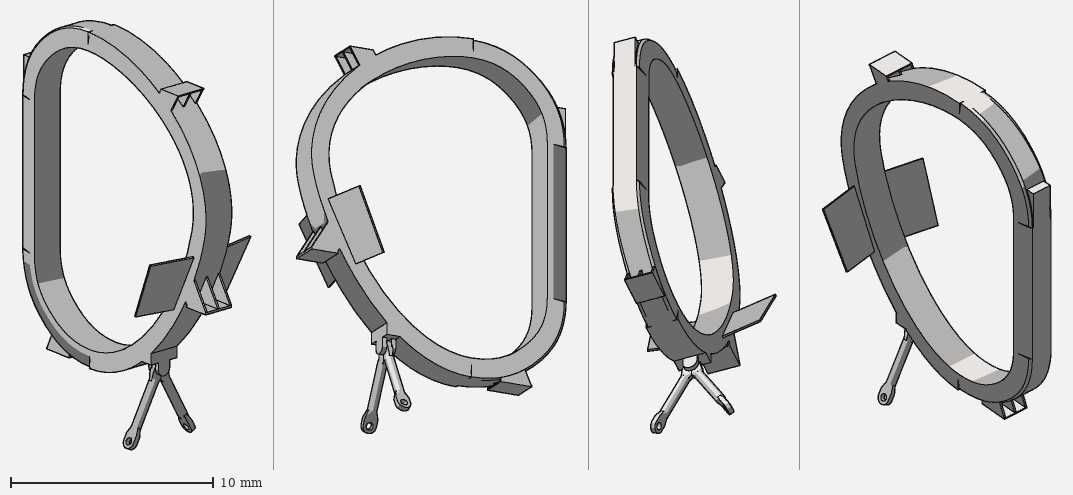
import cadquery as cq
import math


total_height = 20.5

ring_height = 17.72
ring_half_width = 0.85
wall_at_nose = 1.17
wall_at_seam = 1.0
corner_height = 4.82
top_seam_x = 5.27
bottom_seam_x = 5.37
flat_side_depth = 0.37
nose_half_width = 0.62
bevel_half_width = 0.72
bevel_depth_nose = 1.0
crown_half_width = 0.57
crown_bevel_half_width = 0.75
bevel_depth_crown = 0.96

outer_joint = (14.15, 9.33)
inner_joint = (13.19, 9.5)
joint_angle = 78.0
outer_top_handles = (4.95, 4.23)
outer_bottom_handles = (4.61, 3.59)
inner_top_handles = (3.57, 4.2)
inner_bottom_handles = (3.65, 4.02)

fin_tip_corner = (12.78, -3.25, 8.12)
fin_sweep = 11.0
fin_rake = 25.5
fin_span = 2.87
fin_chord = 3.5
fin_thickness = 0.1

rib_thickness = 0.1
foot_thickness = 0.06
rear_foot_thickness = 0.12

top_foot_x = (10.83, 12.12)
top_foot_z = 16.2
top_rib_root_left = (10.55, 15.77)
top_rib_root_right = (11.4, 15.05)
bottom_foot_x = (1.97, 3.7)
bottom_foot_z = 0.06
bottom_rib_root_left = (2.5, 1.23)
bottom_rib_root_right = (3.7, 0.62)
rear_foot_x = (12.78, 14.23)
rear_foot_z = 5.31
rear_rib_root_low = (12.55, 5.72)
rear_rib_root_high = (13.2, 7.08)
bottom_bracket_half_width = 0.74

pad_half_width = 0.55
pad_top = 14.97
pad_depth = 1.03

mount_x = 9.7
mount_width = 0.74
mount_bottom = 1.5
mount_top_left = 1.66
mount_top_right = 2.28
pivot_z = 1.1
pin_diameter = 0.33

strut_angle = 28.0
eye_radius = mount_width / 2
eye_thickness = 0.27
eye_hole_diameter = 0.37
rod_diameter = 0.5
eye_neck = 0.37
taper_length = 0.4

pivot_to_bottom = pivot_z + total_height - ring_height
lean = math.radians(strut_angle)
strut_length = (pivot_to_bottom - eye_thickness / 2 * math.sin(lean)) / math.cos(lean) - eye_radius


def prism(points, y_from, y_to):
    """Closed XZ outline extruded from y_from to y_to."""
    return cq.Workplane("XZ", origin=(0, y_from, 0)).polyline(points).close().extrude(y_from - y_to)


def pivot_cylinder(radius, length):
    """Cylinder along X about the pivot, centred in the mount."""
    return cq.Workplane("YZ", origin=(mount_x - length / 2, 0, pivot_z)).circle(radius).extrude(length)


def curve_controls(seam, joint, handles, side):
    """Control points from a seam point to the joint; side is 1 above the joint and -1 below it."""
    angle = math.radians(joint_angle)
    near_seam = (seam[0] + handles[0], seam[1])
    near_joint = (
        joint[0] + side * handles[1] * math.cos(angle),
        joint[1] + side * handles[1] * math.sin(angle),
    )
    return [seam, near_seam, near_joint, joint]


def make_rear_part(side, seam_x, outer_handles, inner_handles):
    """Curved rear part above (side 1) or below (side -1) the joint."""
    outer_z = ring_height if side > 0 else 0
    outer = curve_controls((seam_x, outer_z), outer_joint, outer_handles, side)
    inner = curve_controls((seam_x, outer_z - side * wall_at_seam), inner_joint, inner_handles, side)
    return (
        cq.Workplane("XZ", origin=(0, ring_half_width, 0))
        .moveTo(*outer[0])
        .bezier(outer)
        .lineTo(*inner_joint)
        .bezier(inner[::-1])
        .close()
        .extrude(2 * ring_half_width)
    )


def nose_section():
    """(depth from the inner face, half width) of the wall beside the straight leading side."""
    return [
        (0, ring_half_width),
        (flat_side_depth, ring_half_width),
        (bevel_depth_nose, bevel_half_width),
        (wall_at_nose, nose_half_width),
    ]


def crown_section():
    """(depth from the inner face, half width) of the wall at the seam with the rear part."""
    return [
        (0, ring_half_width),
        (flat_side_depth, ring_half_width),
        (bevel_depth_crown, crown_bevel_half_width),
        (wall_at_seam, crown_half_width),
    ]


def section_wire(half_section, place):
    """Closed symmetric section; place(depth, y) gives the point in space."""
    near = [place(depth, -y) for depth, y in half_section]
    far = [place(depth, y) for depth, y in reversed(half_section)]
    return cq.Wire.makePolygon(near + far, close=True)


def make_corner(side, seam_x):
    """Leading corner at the top (side 1) or bottom (side -1), swept along nearly a quarter ellipse."""
    outer_z = ring_height if side > 0 else 0
    seam_z = outer_z - side * wall_at_seam
    nose_z = outer_z - side * corner_height
    path_width = seam_x - wall_at_nose
    path_height = corner_height - wall_at_seam
    diagonal = math.sqrt(0.5)
    start = cq.Vector(seam_x, 0, seam_z)
    middle = (seam_x - path_width * diagonal, 0, nose_z + side * path_height * diagonal)
    end = cq.Vector(wall_at_nose, 0, nose_z)
    path = cq.Edge.makeSpline(
        [start, cq.Vector(*middle), end],
        tangents=[cq.Vector(-1, 0, 0), cq.Vector(0, 0, -side)],
    )
    crown = section_wire(crown_section(), lambda depth, y: cq.Vector(seam_x, y, seam_z + side * depth))
    nose = section_wire(nose_section(), lambda depth, y: cq.Vector(wall_at_nose - depth, y, nose_z))
    swept = cq.Solid.sweep_multi([crown, nose], cq.Wire.assembleEdges([path]), True, False)
    return cq.Workplane(obj=swept)


def make_leading_side():
    """Straight leading side between the two corners, tapering to its leading face."""
    outline = [
        (0, nose_half_width),
        (wall_at_nose - flat_side_depth, ring_half_width),
        (wall_at_nose, ring_half_width),
    ]
    outline += [(x, -y) for x, y in reversed(outline)]
    return (
        cq.Workplane("XY", origin=(0, 0, corner_height))
        .polyline(outline)
        .close()
        .extrude(ring_height - 2 * corner_height)
    )


def make_fin():
    """Raked and swept rectangular plate on the -Y side, with its root inside the ring wall."""
    sweep = math.radians(fin_sweep)
    rake = math.radians(fin_rake)
    inward = cq.Vector(math.sin(sweep), math.cos(sweep), 0)
    down = cq.Vector(-math.cos(sweep) * math.sin(rake), math.sin(sweep) * math.sin(rake), -math.cos(rake))
    plane = cq.Plane(origin=fin_tip_corner, xDir=inward, normal=down.cross(inward))
    return cq.Workplane(plane).rect(fin_span, -fin_chord, centered=False).extrude(fin_thickness)


def make_bracket(rib_outline, foot_x, foot_z, half_width):
    """Three ribs across the ring, joined by a thin foot plate; foot_x and foot_z are its X and Z ranges."""
    left, right = foot_x
    bottom, top = foot_z
    bracket = prism([(left, bottom), (right, bottom), (right, top), (left, top)], -half_width, half_width)
    rib_pitch = half_width - rib_thickness / 2
    for rib_y in (-rib_pitch, 0, rib_pitch):
        rib = prism(rib_outline, rib_y - rib_thickness / 2, rib_y + rib_thickness / 2)
        bracket = bracket.union(rib, clean=False)
    return bracket


def make_top_bracket():
    left, right = top_foot_x
    foot_top = top_foot_z + foot_thickness
    rib = [top_rib_root_left, top_rib_root_right, (right, foot_top), (left, foot_top)]
    return make_bracket(rib, top_foot_x, (top_foot_z, foot_top), ring_half_width)


def make_bottom_bracket():
    left, right = bottom_foot_x
    foot_top = bottom_foot_z + foot_thickness
    rib = [(left, bottom_foot_z), (right, bottom_foot_z), bottom_rib_root_right, bottom_rib_root_left]
    return make_bracket(rib, bottom_foot_x, (bottom_foot_z, foot_top), bottom_bracket_half_width)


def make_rear_bracket():
    left, right = rear_foot_x
    foot_top = rear_foot_z + rear_foot_thickness
    rib = [rear_rib_root_low, (left, foot_top), (right, foot_top), rear_rib_root_high]
    return make_bracket(rib, rear_foot_x, (rear_foot_z, foot_top), ring_half_width)


def make_pad():
    """Block that fills the space between the leading face's plane and the top corner."""
    pad_bottom = ring_height - corner_height
    outline = [(0, pad_bottom), (pad_depth, pad_bottom), (pad_depth, pad_top), (0, pad_top)]
    return prism(outline, -pad_half_width, pad_half_width)


def make_strut_mount():
    """Block under the ring with two rounded lugs and the pivot pin between them."""
    left = mount_x - mount_width / 2
    right = mount_x + mount_width / 2
    block = prism(
        [(left, mount_bottom), (right, mount_bottom), (right, mount_top_right), (left, mount_top_left)],
        -ring_half_width,
        ring_half_width,
    )
    lugs = (
        cq.Workplane("XY")
        .box(mount_width, 2 * eye_radius, mount_bottom - pivot_z, centered=(True, True, False))
        .translate((mount_x, 0, pivot_z))
        .union(pivot_cylinder(eye_radius, mount_width))
    )
    slot = (
        cq.Workplane("XY")
        .box(eye_thickness, 4 * eye_radius, 4 * eye_radius)
        .translate((mount_x, 0, mount_bottom - 2 * eye_radius))
    )
    pin = pivot_cylinder(pin_diameter / 2, mount_width)
    return block.union(lugs.cut(slot)).union(pin)


def make_ring():
    fin = make_fin()
    ring = make_leading_side()
    for part in (
        make_corner(1, top_seam_x),
        make_corner(-1, bottom_seam_x),
        make_rear_part(1, top_seam_x, outer_top_handles, inner_top_handles),
        make_rear_part(-1, bottom_seam_x, outer_bottom_handles, inner_bottom_handles),
        fin,
        fin.mirror("XZ"),
        make_top_bracket(),
        make_bottom_bracket(),
        make_rear_bracket(),
        make_pad(),
        make_strut_mount(),
    ):
        ring = ring.union(part, clean=False)
    return ring


def make_eye():
    """Flat eye at the origin, thin along X, whose neck tapers downwards to the round rod."""
    neck = (
        cq.Workplane("XY")
        .box(eye_thickness, 2 * eye_radius, eye_neck, centered=(True, True, False))
        .translate((0, 0, -eye_neck))
    )
    head = cq.Workplane("YZ").circle(eye_radius).extrude(eye_thickness / 2, both=True)
    taper = (
        cq.Workplane("XY", origin=(0, 0, -eye_neck))
        .rect(eye_thickness, 2 * eye_radius)
        .workplane(offset=-taper_length)
        .circle(rod_diameter / 2)
        .loft()
    )
    hole = cq.Workplane("YZ").circle(eye_hole_diameter / 2).extrude(eye_thickness, both=True)
    return head.union(neck).union(taper).cut(hole)


def make_strut(side):
    """Strut leaning towards side * Y; the two struts share the pivot pin and meet at Y = 0."""
    rod_start = eye_neck + taper_length
    rod = (
        cq.Workplane("XY", origin=(0, 0, -rod_start))
        .circle(rod_diameter / 2)
        .extrude(-(strut_length - 2 * rod_start))
    )
    lower_eye = (
        make_eye()
        .rotate((0, 0, 0), (1, 0, 0), 180)
        .rotate((0, 0, 0), (0, 0, 1), 90)
        .translate((0, 0, -strut_length))
    )
    strut = make_eye().union(rod).union(lower_eye)
    strut = strut.rotate((0, 0, 0), (1, 0, 0), side * strut_angle)
    reach = 2 * strut_length
    own_half = cq.Workplane("XY").box(reach, reach, 2 * reach).translate((0, side * reach / 2, 0))
    return strut.intersect(own_half).translate((mount_x, 0, pivot_z))


ring = make_ring()
struts = [make_strut(side) for side in (-1, 1)]
result = cq.Compound.makeCompound([ring.solids().val(), *[strut.solids().val() for strut in struts]])